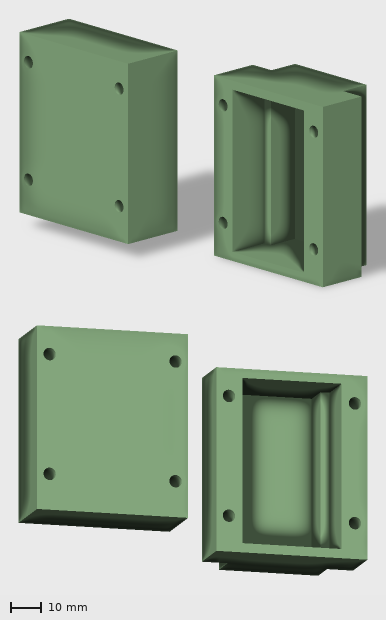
import cadquery as cq

body_width = 52.0
body_height = 62.3

hole_diameter = 4.2
hole_side_margin = 4.3
hole_bottom_height = 12.2
hole_spacing_z = 40.6

block_depth = 22.8

flange_depth = 17.8
rear_depth = 10.8
wall = 3.1
rear_width = 34.2
housing_depth = flange_depth + rear_depth
cavity_height = body_height - 2 * wall
rear_cavity_width = rear_width - 2 * wall

housing_x = 120.5 - body_width
housing_y = block_depth + 1.0
housing_z = -5.3


def centred_box(width, depth, height, front_y, bottom_z):
    """Box centred across the body width, starting at front_y and bottom_z."""
    left_x = (body_width - width) / 2
    return cq.Workplane("XY").box(width, depth, height, centered=False).translate((left_x, front_y, bottom_z))


def drill_screw_holes(body, depth):
    """Cut the four through holes into a body whose front face lies at Y = 0."""
    for x in (hole_side_margin, body_width - hole_side_margin):
        for z in (hole_bottom_height, hole_bottom_height + hole_spacing_z):
            drill = cq.Solid.makeCylinder(hole_diameter / 2, depth, cq.Vector(x, 0, z), cq.Vector(0, 1, 0))
            body = body.cut(cq.Workplane(obj=drill))
    return body


def make_block():
    block = centred_box(body_width, block_depth, body_height, 0, 0)
    return drill_screw_holes(block, block_depth)


def make_housing():
    flange = centred_box(body_width, flange_depth, body_height, 0, 0)
    rear_box = centred_box(rear_width, rear_depth, body_height, flange_depth, 0)
    front_cavity = centred_box(rear_width, flange_depth - wall, cavity_height, 0, wall)
    rear_cavity = centred_box(rear_cavity_width, housing_depth - wall, cavity_height, 0, wall)
    shell = flange.union(rear_box).cut(front_cavity).cut(rear_cavity)
    return drill_screw_holes(shell, housing_depth)


block = make_block()
housing = make_housing().translate((housing_x, housing_y, housing_z))

result = cq.Compound.makeCompound([block.val(), housing.val()])